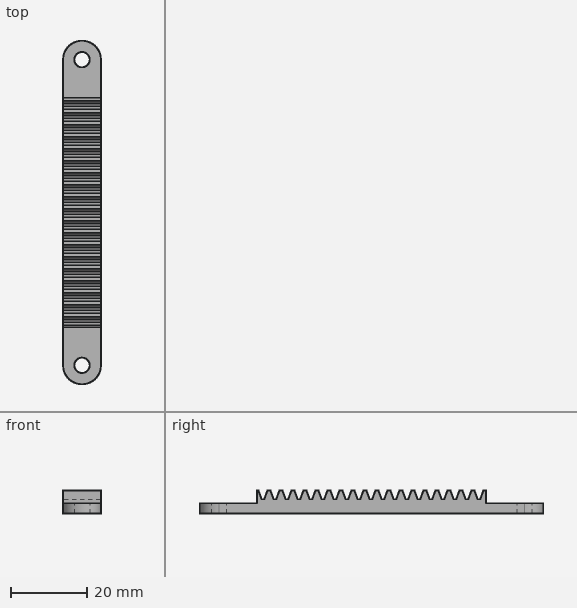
import cadquery as cq
import math

length = 90.0
width = 10.0
plate_thickness = 2.7
hole_diameter = 4.0
hole_spacing = length - width

total_height = 6.0
gap_count = 19
module = length / 90
rack_length = 60 * module
pitch = math.pi * module
pressure_angle = math.radians(20)
addendum = module
dedendum = 1.25 * module


def make_strip():
    """Flat strip with a full radius and a through hole at each end."""
    strip = cq.Workplane("XY").slot2D(length, width, 90).extrude(plate_thickness)
    hole_centres = [(0, -hole_spacing / 2), (0, hole_spacing / 2)]
    holes = (
        cq.Workplane("XY")
        .pushPoints(hole_centres)
        .circle(hole_diameter / 2)
        .extrude(plate_thickness)
    )
    return strip.cut(holes)


def make_tooth_gap():
    """Straight-flanked gap centred on Y = 0."""
    half_top = pitch / 4 + addendum * math.tan(pressure_angle)
    half_root = pitch / 4 - dedendum * math.tan(pressure_angle)
    root_height = total_height - addendum - dedendum
    return (
        cq.Workplane("YZ")
        .moveTo(-half_top, total_height)
        .lineTo(-half_root, root_height)
        .lineTo(half_root, root_height)
        .lineTo(half_top, total_height)
        .close()
        .extrude(width / 2, both=True)
    )


def make_rack():
    """Bar with tooth gaps cut across it, starting with a half tooth at the -Y end."""
    rack = cq.Workplane("XY").box(width, rack_length, total_height, centered=(True, True, False))
    first_gap_position = -rack_length / 2 + pitch / 2
    gap = make_tooth_gap()
    for index in range(gap_count):
        gap_position = first_gap_position + index * pitch
        rack = rack.cut(gap.translate((0, gap_position, 0)))
    return rack


result = make_strip().union(make_rack())